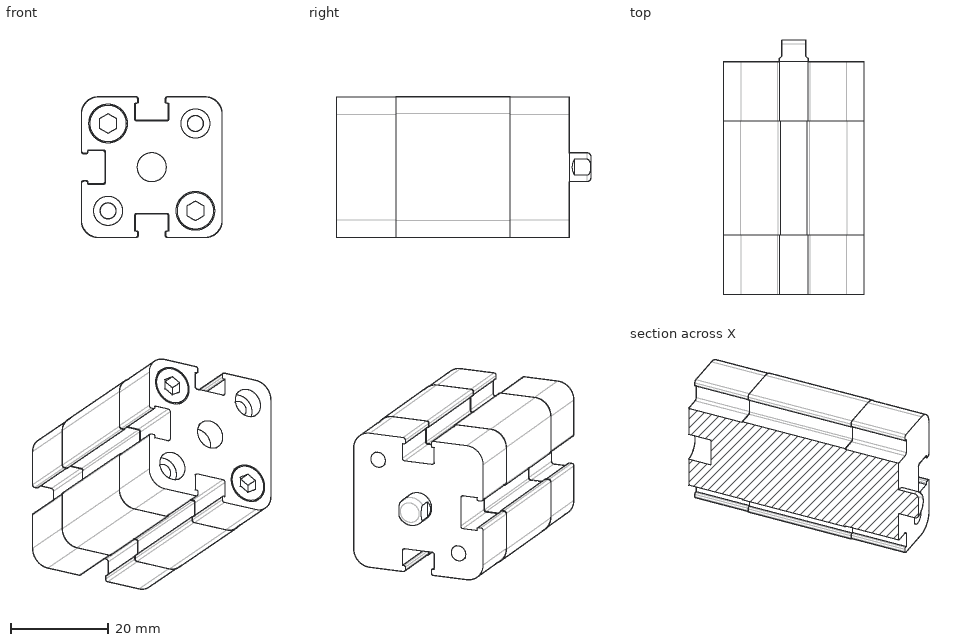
import cadquery as cq
import math

barrel_width = 29.05
cap_width = 29.0
body_length = 48.0
cap_length = 12.25
barrel_length = body_length - 2 * cap_length

barrel_corner_radius = 3.5
cap_corner_radius = 3.65

slot_depth = 5.0
slot_width = 7.1
slot_mouth_width = 5.8
slot_lip_thickness = 1.35
slot_corner_radius = 0.5
slot_lip_outer_radius = 0.5
slot_lip_inner_radius = 0.3
barrel_slot_inset = 0.15
slot_angles = (0, 90, 180)

hole_offset = 9.0
through_hole_diameter = 3.24
counterbore_diameter = 6.0
counterbore_depth = 3.5
screw_bore_diameter = 8.0
screw_head_diameter = 7.5
screw_gap_depth = 4.0
hex_across_flats = 3.5
hex_corner_diameter = hex_across_flats / math.cos(math.pi / 6)
hex_depth = 3.0
center_hole_diameter = 6.0
center_hole_depth = 5.0

rod_diameter = 6.0
rod_length = 4.5
rod_tip_radius = 0.9
rod_flats_width = 5.0
rod_flat_length = 3.4

open_hole_centers = ((hole_offset, hole_offset), (-hole_offset, -hole_offset))
screw_centers = ((-hole_offset, hole_offset), (hole_offset, -hole_offset))


def plane_at(y):
    """Workplane across the cylinder axis: local x is X, local y is Z, the normal is -Y."""
    return cq.Workplane("XZ", origin=(0, y, 0))


def slot_cutter(y_start, length, width, inset):
    """Slot for the top face: a wide chamber below a narrower mouth with rounded lips."""
    half_width = slot_width / 2 - inset
    half_mouth = slot_mouth_width / 2 - inset
    top = width / 2
    floor = top - slot_depth + inset
    lip = top - slot_lip_thickness
    chamber = (
        plane_at(y_start)
        .center(0, (floor + lip) / 2)
        .rect(2 * half_width, lip - floor)
        .extrude(-length)
        .edges("|Y and <Z")
        .fillet(slot_corner_radius - inset)
    )
    mouth = (
        plane_at(y_start)
        .moveTo(-half_mouth - slot_lip_inner_radius, lip)
        .radiusArc((-half_mouth, lip + slot_lip_inner_radius), -slot_lip_inner_radius)
        .lineTo(-half_mouth, top - slot_lip_outer_radius)
        .radiusArc((-half_mouth - slot_lip_outer_radius, top), -slot_lip_outer_radius)
        .lineTo(half_mouth + slot_lip_outer_radius, top)
        .radiusArc((half_mouth, top - slot_lip_outer_radius), -slot_lip_outer_radius)
        .lineTo(half_mouth, lip + slot_lip_inner_radius)
        .radiusArc((half_mouth + slot_lip_inner_radius, lip), -slot_lip_inner_radius)
        .close()
        .extrude(-length)
    )
    return chamber.union(mouth)


def slotted_section(y_start, length, width, corner_radius, inset):
    """Rounded square length of profile with its sensor slots."""
    section = (
        plane_at(y_start)
        .rect(width, width)
        .extrude(-length)
        .edges("|Y")
        .fillet(corner_radius)
    )
    cutter = slot_cutter(y_start, length, width, inset)
    for angle in slot_angles:
        section = section.cut(cutter.rotate((0, 0, 0), (0, -1, 0), angle))
    return section


def make_cap(y_start):
    return slotted_section(y_start, cap_length, cap_width, cap_corner_radius, 0)


def make_body():
    """Barrel between two end caps of slightly different profile."""
    barrel = slotted_section(
        cap_length, barrel_length, barrel_width, barrel_corner_radius, barrel_slot_inset
    )
    return make_cap(0).union(barrel).union(make_cap(body_length - cap_length))


def bore(centers, diameter, depth):
    """Cylinders running into the body from the plain end face."""
    return plane_at(0).pushPoints(centers).circle(diameter / 2).extrude(-depth)


def cut_open_holes(body):
    """Counterbored through holes on one diagonal, and the blind hole on the axis."""
    body = body.cut(bore(open_hole_centers, through_hole_diameter, body_length))
    body = body.cut(bore(open_hole_centers, counterbore_diameter, counterbore_depth))
    return body.cut(bore([(0, 0)], center_hole_diameter, center_hole_depth))


def cut_socket_screws(body):
    """Ring gap around each flush screw head, and its hexagon socket."""
    gap = bore(screw_centers, screw_bore_diameter, screw_gap_depth)
    gap = gap.cut(bore(screw_centers, screw_head_diameter, screw_gap_depth))
    for x, z in screw_centers:
        socket = (
            plane_at(0)
            .center(x, z)
            .transformed(rotate=(0, 0, 90))
            .polygon(6, hex_corner_diameter)
            .extrude(-hex_depth)
        )
        body = body.cut(socket)
    return body.cut(gap)


def make_rod():
    """Rod end with a rounded tip and two wrench flats that run out at 45 degrees."""
    radius = rod_diameter / 2
    base = body_length
    tip = body_length + rod_length
    rod = (
        cq.Workplane("XY")
        .moveTo(0, base)
        .lineTo(radius, base)
        .lineTo(radius, tip - rod_tip_radius)
        .radiusArc((radius - rod_tip_radius, tip), -rod_tip_radius)
        .lineTo(0, tip)
        .close()
        .revolve(360, (0, 0, 0), (0, 1, 0))
    )
    half_flats = rod_flats_width / 2
    flat_start = tip - rod_flat_length
    runout = radius - half_flats
    flat = (
        cq.Workplane("XY")
        .moveTo(half_flats, tip)
        .lineTo(half_flats, flat_start)
        .lineTo(radius, flat_start - runout)
        .lineTo(radius, tip)
        .close()
        .extrude(radius, both=True)
    )
    return rod.cut(flat).cut(flat.mirror("YZ"))


result = cut_socket_screws(cut_open_holes(make_body())).union(make_rod())